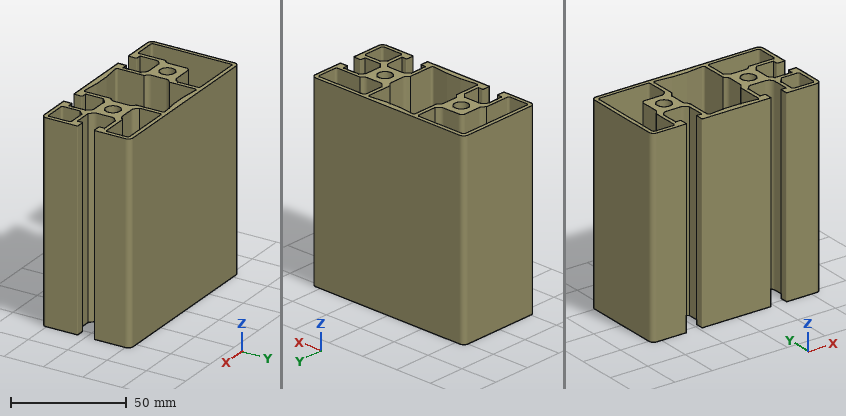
import cadquery as cq
import math

WIDTH = 90.0
DEPTH = 45.0
LENGTH = 100.0
CORNER_RADIUS = 2.5

WALL = 2.0
CAVITY_RADIUS = 1.0

SLOT_HALF_WIDTH = 6.9
SLOT_WALL = 2.0
SLOT_OPENING = 8.3
LIP_THICKNESS = 4.3
LIP_RADIUS = 0.3
MOUTH_OVERRUN = 1.0
SLOT_CORNER_RADIUS = 3.2

CORE_HALF_WIDTH = 7.1
CORE_HOLE_DIAMETER = 7.2
CORE_EDGE_RADIUS = 2.0
BRACE_OFFSET = 2.4
BRACE_RADIUS = 2.5

BULGE_HEIGHT = 1.0
BULGE_HALF_FLAT = 4.0
CENTRE_CAVITY_RADIUS = 1.0

CORE_X = (WIDTH - DEPTH) / 2
INNER_X = WIDTH / 2 - WALL
INNER_Y = DEPTH / 2 - WALL
SLOT_OUTSIDE = SLOT_HALF_WIDTH + SLOT_WALL
BRACE_AT_CORE = CORE_HALF_WIDTH - BRACE_OFFSET
BRACE_AT_SLOT = SLOT_HALF_WIDTH + BRACE_OFFSET
BRACE_AT_WALL = SLOT_OUTSIDE - BRACE_OFFSET
FAR_WALL = INNER_X - CORE_X
MOUTH = DEPTH / 2
LIP_INSIDE = MOUTH - LIP_THICKNESS


def prism(corners):
    """Extrude a closed polygon of (x, y, radius) corners, rounding each corner by its radius."""
    tangents = []
    for i, (x, y, radius) in enumerate(corners):
        before = cq.Vector(*corners[i - 1][:2])
        after = cq.Vector(*corners[(i + 1) % len(corners)][:2])
        corner = cq.Vector(x, y)
        to_before = (before - corner).normalized()
        to_after = (after - corner).normalized()
        half_angle = to_before.getAngle(to_after) / 2
        setback = radius / math.tan(half_angle)
        bisector = (to_before + to_after).normalized()
        middle = corner + bisector * (radius / math.sin(half_angle) - radius)
        tangents.append((corner + to_before * setback, middle, corner + to_after * setback, radius))

    outline = cq.Workplane("XY").moveTo(*tangents[0][2].toTuple()[:2])
    for start, middle, end, radius in tangents[1:] + tangents[:1]:
        outline = outline.lineTo(*start.toTuple()[:2])
        if radius > 0:
            outline = outline.threePointArc(middle.toTuple()[:2], end.toTuple()[:2])
    return outline.close().extrude(LENGTH)


def around_core(side, corners):
    """Place corners given outward (u) and along Y (v) from the core centre on side -1 or +1."""
    return [(side * (CORE_X + u), v, radius) for u, v, radius in corners]


def outer_body():
    return cq.Workplane("XY").rect(WIDTH, DEPTH).extrude(LENGTH).edges("|Z").fillet(CORNER_RADIUS)


def lip(mirror):
    """Rounded lip on one side (mirror = -1 or +1) of a slot, as (distance from core, offset, radius)."""
    return [
        (MOUTH + MOUTH_OVERRUN, mirror * SLOT_HALF_WIDTH, 0),
        (MOUTH, mirror * SLOT_HALF_WIDTH, 0),
        (MOUTH, mirror * SLOT_OPENING / 2, LIP_RADIUS),
        (LIP_INSIDE, mirror * SLOT_OPENING / 2, LIP_RADIUS),
        (LIP_INSIDE, mirror * SLOT_HALF_WIDTH, 0),
    ]


def braced_corner(mirror):
    """45 degree slot corner blending into the core face."""
    return [
        (BRACE_AT_SLOT, mirror * SLOT_HALF_WIDTH, 0),
        (CORE_HALF_WIDTH, mirror * BRACE_AT_CORE, BRACE_RADIUS),
    ]


def front_slot(side):
    """T-slot open to -Y, with a braced corner by the web and a round corner on the outer side."""
    round_corner = [(CORE_HALF_WIDTH, SLOT_HALF_WIDTH, SLOT_CORNER_RADIUS)]
    corners = lip(1) + round_corner + (lip(-1) + braced_corner(-1))[::-1]
    return prism(around_core(side, [(offset, -distance, radius) for distance, offset, radius in corners]))


def side_slot():
    """T-slot open to +X, with two braced corners."""
    return prism(around_core(1, lip(1) + braced_corner(1) + (lip(-1) + braced_corner(-1))[::-1]))


def left_cavity():
    """L-shaped cavity wrapping the back and outer side of the left core."""
    return prism(around_core(-1, [
        (FAR_WALL, INNER_Y, CAVITY_RADIUS),
        (-SLOT_HALF_WIDTH, INNER_Y, CAVITY_RADIUS),
        (-SLOT_HALF_WIDTH, BRACE_AT_SLOT, 0),
        (-BRACE_AT_CORE, CORE_HALF_WIDTH, BRACE_RADIUS),
        (CORE_HALF_WIDTH, CORE_HALF_WIDTH, CORE_EDGE_RADIUS),
        (CORE_HALF_WIDTH, -BRACE_AT_CORE, BRACE_RADIUS),
        (SLOT_OUTSIDE, -BRACE_AT_WALL, 0),
        (SLOT_OUTSIDE, -INNER_Y, CAVITY_RADIUS),
        (FAR_WALL, -INNER_Y, CAVITY_RADIUS),
    ]))


def back_right_cavity():
    """Cavity behind the right core and the side slot."""
    return prism(around_core(1, [
        (FAR_WALL, INNER_Y, CAVITY_RADIUS),
        (-SLOT_HALF_WIDTH, INNER_Y, CAVITY_RADIUS),
        (-SLOT_HALF_WIDTH, BRACE_AT_SLOT, 0),
        (-BRACE_AT_CORE, CORE_HALF_WIDTH, BRACE_RADIUS),
        (BRACE_AT_CORE, CORE_HALF_WIDTH, BRACE_RADIUS),
        (BRACE_AT_WALL, SLOT_OUTSIDE, 0),
        (FAR_WALL, SLOT_OUTSIDE, CAVITY_RADIUS),
    ]))


def front_right_cavity():
    """Nearly square cavity between the side slot and the right front slot."""
    chamfer_end = SLOT_OUTSIDE + BRACE_OFFSET
    return prism(around_core(1, [
        (chamfer_end, -SLOT_OUTSIDE, 0),
        (FAR_WALL, -SLOT_OUTSIDE, CAVITY_RADIUS),
        (FAR_WALL, -INNER_Y, CAVITY_RADIUS),
        (SLOT_OUTSIDE, -INNER_Y, CAVITY_RADIUS),
        (SLOT_OUTSIDE, -chamfer_end, 0),
    ]))


def centre_cavity():
    """Cavity between the webs, widened at the cores and narrowed where its walls thicken."""
    bulge_y = INNER_Y - BULGE_HEIGHT
    flat_end = BULGE_HALF_FLAT - CORE_X
    right = [
        (flat_end, bulge_y, 0),
        (-SLOT_OUTSIDE, INNER_Y, CENTRE_CAVITY_RADIUS),
        (-SLOT_OUTSIDE, BRACE_AT_WALL, 0),
        (-CORE_HALF_WIDTH, BRACE_AT_CORE, BRACE_RADIUS),
        (-CORE_HALF_WIDTH, -BRACE_AT_CORE, BRACE_RADIUS),
        (-SLOT_OUTSIDE, -BRACE_AT_WALL, 0),
        (-SLOT_OUTSIDE, -INNER_Y, CENTRE_CAVITY_RADIUS),
        (flat_end, -bulge_y, 0),
    ]
    return prism(around_core(1, right) + around_core(-1, right[::-1]))


def core_holes():
    return (
        cq.Workplane("XY")
        .pushPoints([(-CORE_X, 0), (CORE_X, 0)])
        .circle(CORE_HOLE_DIAMETER / 2)
        .extrude(LENGTH)
    )


result = outer_body()
for void in (
    front_slot(-1),
    front_slot(1),
    side_slot(),
    left_cavity(),
    back_right_cavity(),
    front_right_cavity(),
    centre_cavity(),
    core_holes(),
):
    result = result.cut(void)